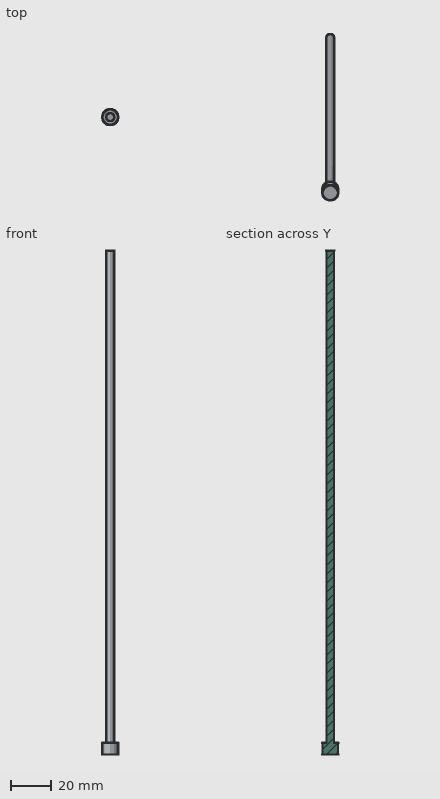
import cadquery as cq

overall_length = 250.0
head_diameter = 8.0
head_height = 6.0
head_chamfer = 0.2
shaft_diameter = 4.0
root_fillet = 0.3

head_radius = head_diameter / 2
shaft_radius = shaft_diameter / 2


def make_head():
    """Round head standing on Z = 0, with both rims chamfered."""
    blank = cq.Workplane("XY").circle(head_radius).extrude(head_height)
    return blank.faces("<Z or >Z").edges().chamfer(head_chamfer)


def make_shaft():
    """Plain round shaft running from the bottom of the head to the tip."""
    return cq.Workplane("XY").circle(shaft_radius).extrude(overall_length)


def fillet_shaft_root(pin):
    """Round the inside corner where the shaft leaves the top of the head."""
    head_top = pin.faces(">Z[-2]")
    root_edge = cq.selectors.RadiusNthSelector(0)
    return head_top.edges(root_edge).fillet(root_fillet)


pin = make_head().union(make_shaft())
result = fillet_shaft_root(pin)